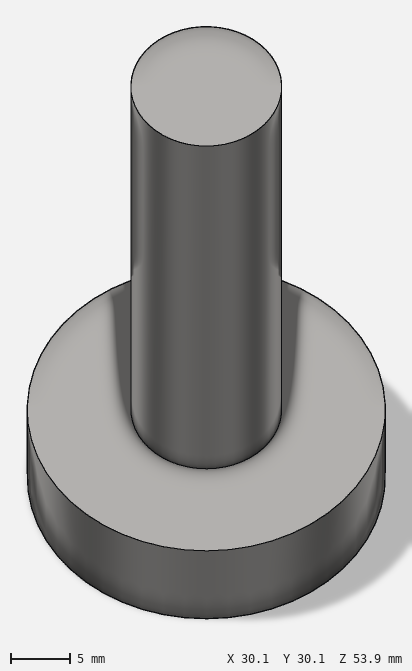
import cadquery as cq

total_height = 53.85
head_diameter = 30.15
head_height = 9.35
shaft_diameter = 12.7

shaft_height = total_height - head_height

head = cq.Workplane("XY").circle(head_diameter / 2).extrude(head_height)

result = head.faces(">Z").workplane().circle(shaft_diameter / 2).extrude(shaft_height)